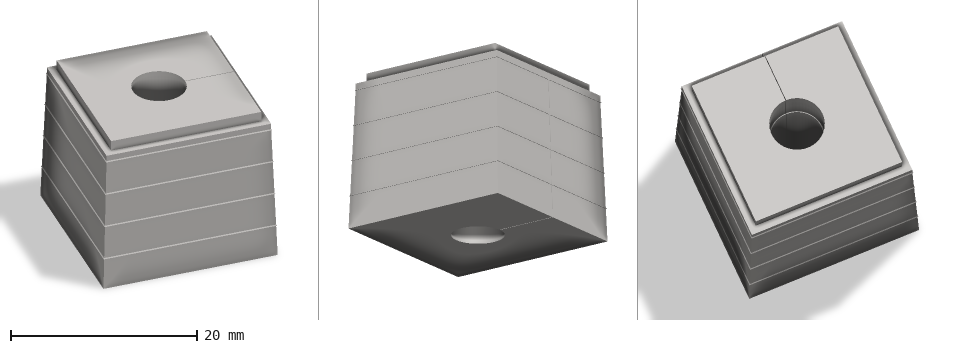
import cadquery as cq
import math

base_width = 19.9
shoulder_width = 18.8
body_height = 15.82

collar_top = 16.5
cap_width = 17.15
total_height = 17.7

lip_pitch = 4.0
lip_height = 0.12
lip_overhang = 0.08
lip_count = 4

bore_diameter = 5.97
lower_bore_diameter = 5.77
upper_bore_depth = 3.75
slit_width = 0.08


def width_at(z):
    """Width of the tapered body at height z."""
    return base_width - (base_width - shoulder_width) * z / body_height


def square_block(width, bottom, top):
    """Square plate centred on the Z axis."""
    height = top - bottom
    return cq.Workplane("XY").workplane(offset=bottom).rect(width, width).extrude(height)


def tapered_block(bottom_width, top_width, bottom, top):
    """Square block centred on the Z axis with evenly sloping sides."""
    height = top - bottom
    side_angle = math.degrees(math.atan2((bottom_width - top_width) / 2, height))
    return (
        cq.Workplane("XY")
        .workplane(offset=bottom)
        .rect(bottom_width, bottom_width)
        .extrude(height, taper=side_angle)
    )


def lip(top):
    """Wedge that meets the body side at its top and overhangs it at its bottom."""
    bottom = top - lip_height
    return tapered_block(width_at(bottom) + 2 * lip_overhang, width_at(top), bottom, top)


def stepped_bore():
    lower = cq.Workplane("XY").circle(lower_bore_diameter / 2).extrude(total_height)
    upper = (
        cq.Workplane("XY")
        .workplane(offset=total_height - upper_bore_depth)
        .circle(bore_diameter / 2)
        .extrude(upper_bore_depth)
    )
    return lower.union(upper)


def slit():
    """Thin vertical cut from the bore axis out through the +Y side."""
    return (
        cq.Workplane("XY")
        .rect(slit_width, base_width / 2)
        .extrude(total_height)
        .translate((0, base_width / 4, 0))
    )


body = tapered_block(base_width, shoulder_width, 0, body_height)
for index in range(lip_count):
    body = body.union(lip(body_height - index * lip_pitch))

body = body.union(square_block(shoulder_width, body_height, collar_top))
body = body.union(square_block(cap_width, collar_top, total_height))

result = body.cut(stepped_bore()).cut(slit())